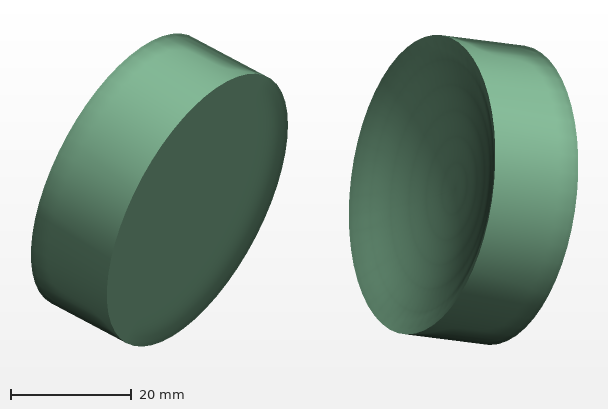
import cadquery as cq
import math

diameter = 50.0
edge_thickness = 15.75
dish_depth = 6.3

radius = diameter / 2
dish_radius = (radius**2 + dish_depth**2) / (2 * dish_depth)
dish_center_x = dish_depth - dish_radius

half_angle = math.asin(radius / dish_radius) / 2
arc_middle = (
    dish_center_x + dish_radius * math.cos(half_angle),
    dish_radius * math.sin(half_angle),
)

half_section = (
    cq.Workplane("XY")
    .moveTo(dish_depth, 0)
    .threePointArc(arc_middle, (0, radius))
    .lineTo(edge_thickness, radius)
    .lineTo(edge_thickness, 0)
    .close()
)

result = half_section.revolve(360, (0, 0, 0), (1, 0, 0))